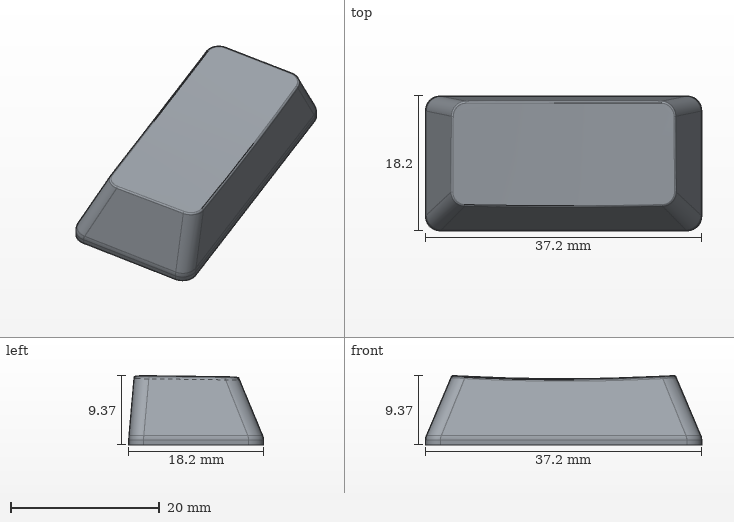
import cadquery as cq
import math

length = 37.2
width = 18.15
uncut_height = 9.85

band_bottom = 0.7
band_top = 1.3
side_draft = 23.0
front_draft = 22.5
back_draft = 5.0
corner_radius = 2.0
front_top_corner_radius = 1.85

dish_radius = 254.9
dish_tilt = 0.75
dish_floor = 8.85
top_edge_radius = 0.25

band_middle = (band_bottom + band_top) / 2
wall_rise = uncut_height - band_middle


def outline(level, effective_rise):
    """Round-cornered wire at a level, pulled in as if each wall had sloped for the given rise."""
    half_length = length / 2 - effective_rise * math.tan(math.radians(side_draft))
    front = effective_rise * math.tan(math.radians(front_draft)) - width / 2
    back = width / 2 - effective_rise * math.tan(math.radians(back_draft))
    front_radius = corner_radius + (front_top_corner_radius - corner_radius) * effective_rise / wall_rise

    front_cut = front_radius * (1 - math.sqrt(0.5))
    back_cut = corner_radius * (1 - math.sqrt(0.5))
    return (
        cq.Workplane("XY")
        .workplane(offset=level)
        .moveTo(front_radius - half_length, front)
        .lineTo(half_length - front_radius, front)
        .threePointArc((half_length - front_cut, front + front_cut), (half_length, front + front_radius))
        .lineTo(half_length, back - corner_radius)
        .threePointArc((half_length - back_cut, back - back_cut), (half_length - corner_radius, back))
        .lineTo(corner_radius - half_length, back)
        .threePointArc((back_cut - half_length, back - back_cut), (-half_length, back - corner_radius))
        .lineTo(-half_length, front + front_radius)
        .threePointArc((front_cut - half_length, front + front_cut), (front_radius - half_length, front))
        .wire()
        .val()
    )


def band_outline(level):
    """Outline within the band: a parabola from upright at its bottom to the wall slope at its top."""
    effective_rise = (level - band_bottom) ** 2 / (2 * (band_top - band_bottom))
    return outline(level, effective_rise)


def outer_body():
    """Skirt, curved band and sloping walls up to a flat top."""
    base = outline(0, 0)
    skirt = cq.Solid.makeLoft([base, band_outline(band_bottom)], True)
    band = cq.Solid.makeLoft([band_outline(level) for level in (band_bottom, band_middle, band_top)])
    walls = cq.Solid.makeLoft([band_outline(band_top), outline(uncut_height, wall_rise)], True)
    return cq.Workplane(skirt).union(cq.Workplane(band)).union(cq.Workplane(walls))


def dish_cutter():
    """Large cylinder along Y whose lowest line forms the floor of the dish."""
    cutter = (
        cq.Workplane("XZ")
        .center(0, dish_floor + dish_radius)
        .circle(dish_radius)
        .extrude(width, both=True)
    )
    return cutter.rotate((0, 0, dish_floor), (1, 0, dish_floor), dish_tilt)


dished_body = outer_body().cut(dish_cutter())
result = dished_body.faces(">Z").edges().fillet(top_edge_radius)